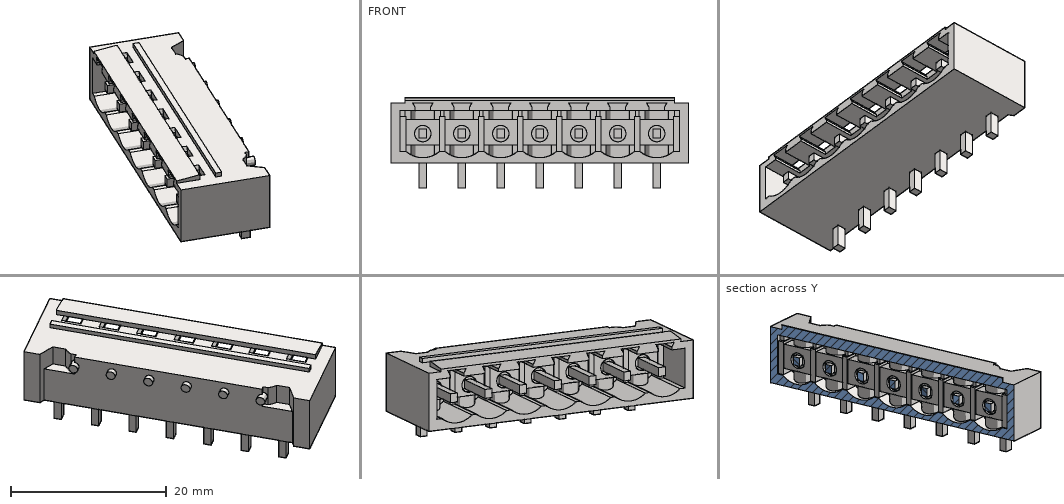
import cadquery as cq


CONTACT_COUNT = 7
PITCH = 5.0
contact_xs = [(i - (CONTACT_COUNT - 1) / 2) * PITCH for i in range(CONTACT_COUNT)]
divider_xs = [(i - (CONTACT_COUNT - 2) / 2) * PITCH for i in range(CONTACT_COUNT - 1)]

CONTACT_WIDTH = 1.0
CONTACT_THICKNESS = 1.2
CONTACT_AXIS_Z = 3.8
CONTACT_TIP_Y = 0.9
CONTACT_BACK_Y = 10.55
LEG_LENGTH = 3.2

LENGTH = 38.2
DEPTH = 12.0
HEIGHT = 7.7
HALF_LENGTH = LENGTH / 2

END_WALL = 1.2
CAVITY_FLOOR_Z = 1.5
CAVITY_TOP_Z = 6.75
CAVITY_BACK_Y = 8.02
SCALLOP_DEPTH = 0.8
DIVIDER_WIDTH = 0.73
CELL_WIDTH = PITCH - DIVIDER_WIDTH

DIVIDER_FRONT_Y = 6.1
DIVIDER_STEP = 0.4
DIVIDER_STEP_Z = 5.95
DIVIDER_TOP_WIDTH = 0.45
SEAT_FRONT_Y = 6.3
SEAT_BOTTOM_Z = 2.3
SEAT_TOP_Z = 5.6
POST_RADIUS = 1.5
RECESS_DIAMETER = 2.1
RECESS_DEPTH = 0.4

RAIL_LENGTH = 34.65
LATCH_DEPTH = 3.15
LATCH_FLAT = 0.3
LATCH_FRONT_HEIGHT = 0.35
LATCH_HEIGHT = 0.7
RIDGE_FRONT_Y = 5.27
RIDGE_WIDTH = 0.8
RIDGE_HEIGHT = 0.57
KEYWAY_DEPTH = 4.13
KEYWAY_TOP_WIDTH = 2.6
KEYWAY_NECK_WIDTH = 1.95
KEYWAY_NECK_Z = 7.15

BACK_STEP = 0.7
BACK_Y = DEPTH - BACK_STEP
TOWER_WIDTH = 2.15
NOTCH_FLOOR_Z = 5.0
NOTCH_FRONT_Y = 9.97
NOTCH_OUTER_X = 15.8
NOTCH_INNER_X = 14.1
NOTCH_ARC_MID = (13.68, 10.43)
NOTCH_SHELF_X = 13.18
NOTCH_SHELF_Y = 10.77
PEG_DIAMETER = 1.2
PEG_AXIS_Z = 6.25


def box(x_range, y_range, z_range):
    """Solid box between the given coordinate limits."""
    (x0, x1), (y0, y1), (z0, z1) = x_range, y_range, z_range
    return cq.Workplane("XY").box(x1 - x0, y1 - y0, z1 - z0, centered=False).translate((x0, y0, z0))


def centred_box(x, width, y_range, z_range):
    """Solid box of the given width centred on x."""
    return box((x - width / 2, x + width / 2), y_range, z_range)


def profile_at(y):
    """Sketch plane in X and Z at depth y; negative extrusions go toward +Y."""
    return cq.Workplane("XZ", origin=(0, y, 0))


def make_contact(x):
    """Right-angle contact: a horizontal blade with a solder leg at its back end."""
    half = CONTACT_THICKNESS / 2
    blade_top = CONTACT_AXIS_Z + half
    blade = centred_box(
        x, CONTACT_WIDTH, (CONTACT_TIP_Y, CONTACT_BACK_Y), (CONTACT_AXIS_Z - half, blade_top)
    )
    leg = centred_box(
        x, CONTACT_WIDTH, (CONTACT_BACK_Y - CONTACT_THICKNESS, CONTACT_BACK_Y), (-LEG_LENGTH, blade_top)
    )
    return blade.union(leg)


def make_scallop(x):
    """Cylindrical hollow in the cavity floor below one contact."""
    half = CELL_WIDTH / 2
    return (
        profile_at(0)
        .moveTo(x - half, CAVITY_FLOOR_Z)
        .threePointArc((x, CAVITY_FLOOR_Z - SCALLOP_DEPTH), (x + half, CAVITY_FLOOR_Z))
        .close()
        .extrude(-CAVITY_BACK_Y)
    )


def make_cavity():
    """Space inside the shroud, with the scalloped floor."""
    cavity = centred_box(0, LENGTH - 2 * END_WALL, (0, CAVITY_BACK_Y), (CAVITY_FLOOR_Z, CAVITY_TOP_Z))
    for x in contact_xs:
        cavity = cavity.union(make_scallop(x))
    return cavity


def make_divider(x_range, top_x_range):
    """Rib on the back of the cavity, narrower and set back near the roof."""
    lower = box(x_range, (DIVIDER_FRONT_Y, CAVITY_BACK_Y), (CAVITY_FLOOR_Z, DIVIDER_STEP_Z))
    upper = box(
        top_x_range, (DIVIDER_FRONT_Y + DIVIDER_STEP, CAVITY_BACK_Y), (DIVIDER_STEP_Z, CAVITY_TOP_Z)
    )
    return lower.union(upper)


def make_dividers():
    """Ribs between the cells and against both end walls."""
    half, half_top = DIVIDER_WIDTH / 2, DIVIDER_TOP_WIDTH / 2
    ribs = [make_divider((x - half, x + half), (x - half_top, x + half_top)) for x in divider_xs]
    wall_x = HALF_LENGTH - END_WALL
    rib_x = contact_xs[-1] + CELL_WIDTH / 2
    end_rib = make_divider((rib_x, wall_x), (rib_x + half - half_top, wall_x))
    return ribs + [end_rib, end_rib.mirror("YZ")]


def make_seat(x):
    """Contact seat: a block across the cell in front of a half-round post."""
    block = centred_box(x, CELL_WIDTH, (SEAT_FRONT_Y, CAVITY_BACK_Y), (SEAT_BOTTOM_Z, SEAT_TOP_Z))
    post = (
        cq.Workplane("XY", origin=(x, CAVITY_BACK_Y, CAVITY_FLOOR_Z - SCALLOP_DEPTH))
        .circle(POST_RADIUS)
        .extrude(CAVITY_TOP_Z - CAVITY_FLOOR_Z + SCALLOP_DEPTH)
    )
    recess = (
        profile_at(SEAT_FRONT_Y).center(x, CONTACT_AXIS_Z).circle(RECESS_DIAMETER / 2).extrude(-RECESS_DEPTH)
    )
    return block.union(post).cut(recess)


def make_keyway(x):
    """Slot in the shroud roof, flared toward the top and open at the front."""
    neck, top = KEYWAY_NECK_WIDTH / 2, KEYWAY_TOP_WIDTH / 2
    return (
        profile_at(0)
        .polyline([
            (x - neck, CAVITY_TOP_Z),
            (x - neck, KEYWAY_NECK_Z),
            (x - top, HEIGHT),
            (x + top, HEIGHT),
            (x + neck, KEYWAY_NECK_Z),
            (x + neck, CAVITY_TOP_Z),
        ])
        .close()
        .extrude(-KEYWAY_DEPTH)
    )


def make_latch():
    """Sloped latch bar along the front edge of the roof, bridging the keyways."""
    return (
        cq.Workplane("YZ", origin=(-RAIL_LENGTH / 2, 0, 0))
        .polyline([
            (0, HEIGHT),
            (0, HEIGHT + LATCH_FRONT_HEIGHT),
            (LATCH_DEPTH - LATCH_FLAT, HEIGHT + LATCH_HEIGHT),
            (LATCH_DEPTH, HEIGHT + LATCH_HEIGHT),
            (LATCH_DEPTH, HEIGHT),
        ])
        .close()
        .extrude(RAIL_LENGTH)
    )


def make_notch():
    """Pocket in the top back edge, beside the right-hand end tower."""
    return (
        cq.Workplane("XY", origin=(0, 0, NOTCH_FLOOR_Z))
        .moveTo(HALF_LENGTH - TOWER_WIDTH, DEPTH)
        .lineTo(NOTCH_OUTER_X, NOTCH_FRONT_Y)
        .lineTo(NOTCH_INNER_X, NOTCH_FRONT_Y)
        .threePointArc(NOTCH_ARC_MID, (NOTCH_SHELF_X, NOTCH_SHELF_Y))
        .lineTo(divider_xs[-1], NOTCH_SHELF_Y)
        .lineTo(divider_xs[-1], DEPTH)
        .close()
        .extrude(HEIGHT - NOTCH_FLOOR_Z)
    )


def make_back_recess():
    """Shallow step over the full height between the end towers, with sloped ends."""
    outer_x = HALF_LENGTH - TOWER_WIDTH
    slope = (outer_x - NOTCH_OUTER_X) / (DEPTH - NOTCH_FRONT_Y)
    inner_x = outer_x - slope * BACK_STEP
    return (
        cq.Workplane("XY")
        .polyline([(-outer_x, DEPTH), (-inner_x, BACK_Y), (inner_x, BACK_Y), (outer_x, DEPTH)])
        .close()
        .extrude(HEIGHT)
    )


def make_peg(x):
    """Round peg on the back, level with the end towers."""
    return (
        profile_at(NOTCH_FRONT_Y)
        .center(x, PEG_AXIS_Z)
        .circle(PEG_DIAMETER / 2)
        .extrude(NOTCH_FRONT_Y - DEPTH)
    )


def make_housing(contacts):
    """Complete housing with a close-fitting passage for every contact."""
    housing = centred_box(0, LENGTH, (0, DEPTH), (0, HEIGHT)).cut(make_cavity())
    for rib in make_dividers():
        housing = housing.union(rib)
    for x in contact_xs:
        housing = housing.union(make_seat(x)).cut(make_keyway(x))

    ridge = centred_box(
        0, RAIL_LENGTH, (RIDGE_FRONT_Y, RIDGE_FRONT_Y + RIDGE_WIDTH), (HEIGHT, HEIGHT + RIDGE_HEIGHT)
    )
    housing = housing.union(make_latch()).union(ridge)

    notch = make_notch()
    housing = housing.cut(make_back_recess()).cut(notch).cut(notch.mirror("YZ"))
    for x in divider_xs:
        housing = housing.union(make_peg(x))
    for contact in contacts:
        housing = housing.cut(contact)
    return housing


contacts = [make_contact(x) for x in contact_xs]
housing = make_housing(contacts)

result = cq.Compound.makeCompound([
    housing.solids().val(),
    *[contact.solids().val() for contact in contacts],
])